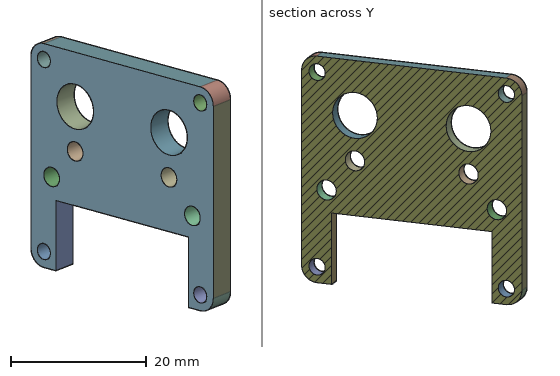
import cadquery as cq

plate_size = 35.0
plate_thickness = 4.0
corner_radius = 2.5

notch_width = 25.4
notch_height = 11.0

mount_pitch = plate_size - 2 * corner_radius
mount_diameter = 2.5

opening_pitch = 18.0
opening_diameter = 7.0
opening_z = 9.0

screw_diameter = 3.0
inner_screw_pitch = opening_pitch
inner_screw_drop = 7.0
inner_screw_z = opening_z - inner_screw_drop
outer_screw_pitch = 27.0
outer_screw_drop = 12.0
outer_screw_z = opening_z - outer_screw_drop


def make_plate():
    """Square plate with rounded corners."""
    plate = cq.Workplane("XY").box(plate_size, plate_thickness, plate_size)
    return plate.edges("|Y").fillet(corner_radius)


def cut_notch(body):
    """Remove the rectangular notch from the bottom edge."""
    notch_center_z = (notch_height - plate_size) / 2
    notch = cq.Workplane("XY").box(notch_width, plate_thickness, notch_height)
    return body.cut(notch.translate((0, 0, notch_center_z)))


def cut_hole_pair(body, pitch, z, diameter):
    """Drill two through holes mirrored about the YZ plane."""
    centers = [(-pitch / 2, z), (pitch / 2, z)]
    drills = (
        cq.Workplane("XZ")
        .pushPoints(centers)
        .circle(diameter / 2)
        .extrude(plate_thickness / 2, both=True)
    )
    return body.cut(drills)


result = cut_notch(make_plate())
for mount_z in (-mount_pitch / 2, mount_pitch / 2):
    result = cut_hole_pair(result, mount_pitch, mount_z, mount_diameter)
result = cut_hole_pair(result, opening_pitch, opening_z, opening_diameter)
result = cut_hole_pair(result, inner_screw_pitch, inner_screw_z, screw_diameter)
result = cut_hole_pair(result, outer_screw_pitch, outer_screw_z, screw_diameter)